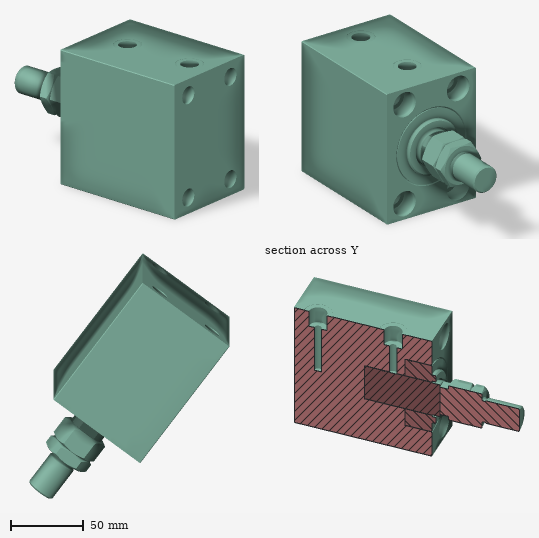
import cadquery as cq
import math


overall_length = 168.0
housing_width = 75.0
housing_height = 100.0
housing_edge_chamfer = 0.5

gland_lip_length = 3.0
rod_protrusion = 6.0
wrench_length = 5.9
large_hex_length = 16.1
small_hex_length = 9.0
relief_length = 3.0
stud_length = 25.0

rod_end_x = -rod_protrusion
large_hex_start_x = rod_end_x - wrench_length
small_hex_start_x = large_hex_start_x - large_hex_length
relief_start_x = small_hex_start_x - small_hex_length
stud_start_x = relief_start_x - relief_length
stud_tip_x = stud_start_x - stud_length
housing_length = overall_length + stud_tip_x

rod_diameter = 28.0
rod_end_chamfer = 0.5
rod_inner_end_x = 50.4

gland_diameter = 57.0
gland_depth = 20.0
gland_lip_diameter = 42.0
gland_lip_chamfer = 1.0
gland_seat_chamfer = 1.0
gland_mouth_clearance = 1.2
gland_mouth_depth = 3.0

stud_diameter = 20.0
stud_tip_chamfer = 1.0
relief_depth = 0.8
hex_across_flats = 30.0
hex_face_diameter = 28.9
hex_chamfer_angle = 30.0
wrench_across_flats = 24.0
wrench_diameter = 27.2

mount_hole_diameter = 13.0
mount_hole_spacing_y = 45.0
mount_hole_spacing_z = 76.0
counterbore_diameter = 19.0
counterbore_depth = 14.0

port_positions_x = (29.0, 85.0)
port_spotface_diameter = 20.0
port_spotface_depth = 0.2
port_diameter = 13.1
port_depth = 13.0
passage_diameter = 5.0


def cylinder_x(diameter, start_x, end_x):
    """Cylinder on the rod axis between two X positions."""
    return cq.Workplane("YZ", origin=(start_x, 0, 0)).circle(diameter / 2).extrude(end_x - start_x)


def revolve_x(profile):
    """Solid of revolution about the rod axis from (x, radius) points."""
    return cq.Workplane("XZ").polyline(profile).close().revolve(360, (0, 0, 0), (1, 0, 0))


def drill_down(diameter, x, depth):
    """Round cutter going down from the top face of the housing."""
    return cq.Workplane("XY", origin=(x, 0, housing_height / 2)).circle(diameter / 2).extrude(-depth)


def make_rod():
    rod = cylinder_x(rod_diameter, rod_end_x, rod_inner_end_x)
    return rod.faces("<X").chamfer(rod_end_chamfer)


def make_gland():
    """Flush gland with a raised lip and a small gap around the rod at its mouth."""
    body = cylinder_x(gland_diameter, 0, gland_depth)
    lip = cylinder_x(gland_lip_diameter, -gland_lip_length, 0).faces("<X").chamfer(gland_lip_chamfer)
    rod_bore = cylinder_x(rod_diameter, -gland_lip_length, gland_depth)
    mouth_diameter = rod_diameter + 2 * gland_mouth_clearance
    mouth = cylinder_x(mouth_diameter, -gland_lip_length, gland_mouth_depth - gland_lip_length)
    return body.union(lip).cut(rod_bore).cut(mouth)


def make_hex(start_x, length):
    """Hexagon with flats at top and bottom and its corners bevelled at both ends."""
    corner_radius = hex_across_flats / math.sqrt(3)
    face_radius = hex_face_diameter / 2
    bevel_length = (corner_radius - face_radius) * math.tan(math.radians(hex_chamfer_angle))
    end_x = start_x + length
    prism = cq.Workplane("YZ", origin=(start_x, 0, 0)).polygon(6, 2 * corner_radius).extrude(length)
    envelope = revolve_x([
        (start_x, 0),
        (start_x, face_radius),
        (start_x + bevel_length, corner_radius),
        (end_x - bevel_length, corner_radius),
        (end_x, face_radius),
        (end_x, 0),
    ])
    return prism.intersect(envelope)


def make_stud():
    """Stud with a bevelled tip and a relief groove next to the small hexagon."""
    radius = stud_diameter / 2
    relief_radius = radius - relief_depth
    return revolve_x([
        (stud_tip_x, 0),
        (stud_tip_x, radius - stud_tip_chamfer),
        (stud_tip_x + stud_tip_chamfer, radius),
        (stud_start_x, radius),
        (stud_start_x + relief_depth, relief_radius),
        (relief_start_x - relief_depth, relief_radius),
        (relief_start_x, radius),
        (relief_start_x, 0),
    ])


def make_wrench_neck():
    """Square neck whose corners are rounded by a cylinder."""
    start = cq.Workplane("YZ", origin=(large_hex_start_x, 0, 0))
    square = start.rect(wrench_across_flats, wrench_across_flats).extrude(wrench_length)
    return square.intersect(cylinder_x(wrench_diameter, large_hex_start_x, rod_end_x))


def make_coupling():
    small_hex = make_hex(relief_start_x, small_hex_length)
    large_hex = make_hex(small_hex_start_x, large_hex_length)
    return make_stud().union(small_hex).union(large_hex).union(make_wrench_neck())


def cut_gland_seat(housing):
    """Stepped bore for the gland and the rod, with a bevelled mouth."""
    gland_radius = gland_diameter / 2
    bevel = revolve_x([
        (0, 0),
        (0, gland_radius + gland_seat_chamfer),
        (gland_seat_chamfer, gland_radius),
        (gland_seat_chamfer, 0),
    ])
    gland_bore = cylinder_x(gland_diameter, 0, gland_depth)
    rod_bore = cylinder_x(rod_diameter, 0, rod_inner_end_x)
    return housing.cut(bevel).cut(gland_bore).cut(rod_bore)


def cut_mounting_holes(housing):
    """Four holes right through along X, each with a counterbore at the front."""
    front = cq.Workplane("YZ").rect(mount_hole_spacing_y, mount_hole_spacing_z, forConstruction=True).vertices()
    holes = front.circle(mount_hole_diameter / 2).extrude(housing_length)
    counterbores = front.circle(counterbore_diameter / 2).extrude(counterbore_depth)
    return housing.cut(holes).cut(counterbores)


def cut_ports(housing):
    """Oil ports in the top face, with narrow passages down to the level of the rod axis."""
    for x in port_positions_x:
        housing = housing.cut(drill_down(port_spotface_diameter, x, port_spotface_depth))
        housing = housing.cut(drill_down(port_diameter, x, port_depth))
        housing = housing.cut(drill_down(passage_diameter, x, housing_height / 2))
    return housing


def make_housing():
    block = cq.Workplane("YZ").rect(housing_width, housing_height).extrude(housing_length)
    block = block.edges("|X").chamfer(housing_edge_chamfer)
    return cut_ports(cut_mounting_holes(cut_gland_seat(block)))


housing = make_housing()
gland = make_gland()
rod = make_rod()
coupling = make_coupling()

result = cq.Compound.makeCompound([housing.val(), gland.val(), rod.val(), coupling.val()])